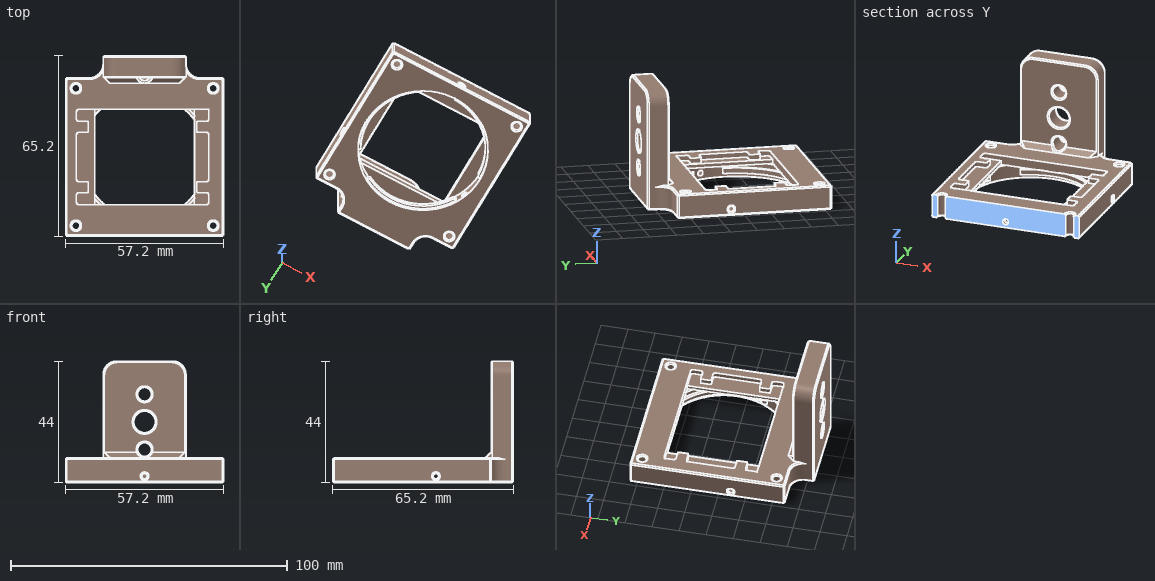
import cadquery as cq
import math

FRAME_SIDE = 57.15
FRAME_HEIGHT = 9.0
EDGE_CHAMFER = 0.5

POST_WIDTH = 30.0
POST_THICKNESS = 8.0
POST_HEIGHT = 44.0
POST_CORNER_RADIUS = 5.0
SHOULDER_RADIUS = 5.0
GUSSET_LEG = 2.0

MOUNT_HOLE_DIAMETER = 4.98
CENTRE_HOLE_DIAMETER = 7.8
POST_HOLE_CENTRE_Z = 22.0
POST_HOLE_PITCH = 10.0
CORNER_HOLE_DIAMETER = 3.0
CORNER_HOLE_INSET = 3.75
SET_SCREW_DIAMETER = 2.0
SET_SCREW_Z = 2.4
SIDE_SCREW_Y = 8.65

WINDOW_X = 36.0
WINDOW_Y = 34.5
POCKET_WIDTH = 47.8
POCKET_DEPTH = 2.0
POCKET_CENTRE_X = -0.72
POCKET_CORNER_RADIUS = 0.9
TAB_TIP_X = 19.65
TAB_CENTRE_Y = 10.9
TAB_WIDTH = 3.9
TAB_TIP_RADIUS = 0.3

BORE_DIAMETER = 47.0
BORE_DEPTH = 5.5
LIP_DIAMETER = 45.0
LIP_BOTTOM_Z = 1.5
LIP_TOP_Z = 3.5
NOTCH_COUNT = 3
NOTCH_FIRST_ANGLE = 15.0
NOTCH_SPAN = 30.0
LIP_END_RADIUS = 0.8

MATCH_TOLERANCE = 0.01

HALF_SIDE = FRAME_SIDE / 2
POST_FRONT_Y = HALF_SIDE
POST_BACK_Y = POST_FRONT_Y + POST_THICKNESS


def countersunk_hole(diameter, depth, countersink_both_ends=False):
    """Drill along +Z from z = 0, with a 45 degree countersink at its mouth."""
    radius = diameter / 2
    drill = cq.Workplane("XY").circle(radius).extrude(depth)
    cone = cq.Solid.makeCone(radius + EDGE_CHAMFER, radius, EDGE_CHAMFER)
    drill = drill.union(cq.Workplane(cone))
    if countersink_both_ends:
        far_cone = cone.mirror("XY").translate(cq.Vector(0, 0, depth))
        drill = drill.union(cq.Workplane(far_cone))
    return drill


def along_y(tool):
    """Turn a +Z tool so that it points along +Y."""
    return tool.rotate((0, 0, 0), (1, 0, 0), -90)


def along_x(tool):
    """Turn a +Z tool so that it points along +X."""
    return tool.rotate((0, 0, 0), (0, 1, 0), 90)


def make_frame():
    """Square frame with concave shoulders that run into the post."""
    half_post = POST_WIDTH / 2
    shoulder_x = half_post + SHOULDER_RADIUS
    shoulder_y = HALF_SIDE + SHOULDER_RADIUS
    neck_y = POST_BACK_Y - 2 * EDGE_CHAMFER
    arc_offset = SHOULDER_RADIUS * (1 - math.sqrt(0.5))
    arc_mid = (half_post + arc_offset, HALF_SIDE + arc_offset)
    outline = (
        cq.Workplane("XY")
        .moveTo(-HALF_SIDE, -HALF_SIDE)
        .lineTo(HALF_SIDE, -HALF_SIDE)
        .lineTo(HALF_SIDE, HALF_SIDE)
        .lineTo(shoulder_x, HALF_SIDE)
        .threePointArc(arc_mid, (half_post, shoulder_y))
        .lineTo(half_post, neck_y)
        .lineTo(-half_post, neck_y)
        .lineTo(-half_post, shoulder_y)
        .threePointArc((-arc_mid[0], arc_mid[1]), (-shoulder_x, HALF_SIDE))
        .lineTo(-HALF_SIDE, HALF_SIDE)
        .close()
    )
    frame = outline.extrude(FRAME_HEIGHT)
    frame = frame.edges("|Z and (<X or >X)").chamfer(EDGE_CHAMFER)
    return frame.faces("<Z or >Z").edges().chamfer(EDGE_CHAMFER)


def make_post():
    """Upright plate with rounded top corners and chamfered rims."""
    post = (
        cq.Workplane("XY")
        .box(POST_WIDTH, POST_THICKNESS, POST_HEIGHT, centered=(True, False, False))
        .translate((0, POST_FRONT_Y, 0))
    )
    post = post.edges("|Y and >Z").fillet(POST_CORNER_RADIUS)
    post = post.edges("|Y and <Z").chamfer(EDGE_CHAMFER)
    return post.faces("<Y or >Y").edges().chamfer(EDGE_CHAMFER)


def make_gusset():
    """45 degree gusset whose vertical ends continue the post's front chamfers."""
    root_half_width = POST_WIDTH / 2 - EDGE_CHAMFER
    tip_half_width = root_half_width - GUSSET_LEG
    root_y = POST_FRONT_Y
    tip_y = POST_FRONT_Y - GUSSET_LEG
    plan = (
        cq.Workplane("XY")
        .workplane(offset=FRAME_HEIGHT)
        .polyline([
            (-root_half_width, root_y),
            (-tip_half_width, tip_y),
            (tip_half_width, tip_y),
            (root_half_width, root_y),
        ])
        .close()
        .extrude(GUSSET_LEG)
    )
    slope = (
        cq.Workplane("YZ")
        .polyline([
            (root_y, FRAME_HEIGHT),
            (tip_y, FRAME_HEIGHT),
            (root_y, FRAME_HEIGHT + GUSSET_LEG),
        ])
        .close()
        .extrude(root_half_width, both=True)
    )
    return plan.intersect(slope)


def upright_edges_at(body, x):
    """Vertical edges of a body that lie in the plane at the given x."""
    edges = body.edges("|Z")
    return edges.filter(lambda edge: abs(edge.Center().x - x) < MATCH_TOLERANCE)


def make_pocket():
    """Shallow top pocket with two pairs of tabs reaching in from its sides."""
    wall_x = POCKET_WIDTH / 2
    tab_length = wall_x - TAB_TIP_X
    tab_centre_x = TAB_TIP_X + tab_length / 2
    tab_places = [
        (side * tab_centre_x, end * TAB_CENTRE_Y)
        for side in (-1, 1)
        for end in (-1, 1)
    ]
    pocket = cq.Workplane("XY").rect(POCKET_WIDTH, WINDOW_Y).extrude(POCKET_DEPTH)
    tabs = cq.Workplane("XY").pushPoints(tab_places).rect(tab_length, TAB_WIDTH).extrude(POCKET_DEPTH)
    pocket = pocket.cut(tabs)

    for tip_x in (-TAB_TIP_X, TAB_TIP_X):
        pocket = upright_edges_at(pocket, tip_x).fillet(TAB_TIP_RADIUS)
    pocket = upright_edges_at(pocket, -wall_x).fillet(POCKET_CORNER_RADIUS)
    pocket = upright_edges_at(pocket, wall_x).edges("not >Y").fillet(POCKET_CORNER_RADIUS)
    return pocket.translate((POCKET_CENTRE_X, 0, FRAME_HEIGHT - POCKET_DEPTH))


def make_bore():
    """Bore from below, narrowed by a round-ended lip that notches interrupt."""
    bore_radius = BORE_DIAMETER / 2
    bore = cq.Workplane("XY").circle(bore_radius).extrude(BORE_DEPTH)
    mid_radius = (BORE_DIAMETER + LIP_DIAMETER) / 4
    lip_height = LIP_TOP_Z - LIP_BOTTOM_Z
    lip = (
        cq.Workplane("XY")
        .circle(bore_radius)
        .circle(LIP_DIAMETER / 2)
        .extrude(lip_height)
    )
    reach = BORE_DIAMETER
    half_spread = reach * math.tan(math.radians(NOTCH_SPAN / 2))
    for index in range(NOTCH_COUNT):
        angle = NOTCH_FIRST_ANGLE + index * 360 / NOTCH_COUNT
        notch = (
            cq.Workplane("XY")
            .polyline([(0, 0), (reach, -half_spread), (reach, half_spread)])
            .close()
            .extrude(lip_height)
            .rotate((0, 0, 0), (0, 0, 1), angle)
        )
        lip = lip.cut(notch)
    end_corners = lip.edges("|Z").filter(
        lambda edge: math.hypot(edge.Center().x, edge.Center().y) < mid_radius
    )
    lip = end_corners.fillet(LIP_END_RADIUS)
    return bore.cut(lip.translate((0, 0, LIP_BOTTOM_Z)))


def cut_opening(body):
    """Rectangular window from above, bore from below and the tabbed pocket."""
    window = (
        cq.Workplane("XY")
        .workplane(offset=BORE_DEPTH)
        .rect(WINDOW_X, WINDOW_Y)
        .extrude(FRAME_HEIGHT - BORE_DEPTH)
    )
    return body.cut(window).cut(make_pocket()).cut(make_bore())


def cut_post_holes(body):
    """Centre hole and two mounting holes; the lowest breaks into the gusset."""
    lowest_z = POST_HOLE_CENTRE_Z - POST_HOLE_PITCH
    highest_z = POST_HOLE_CENTRE_Z + POST_HOLE_PITCH
    plain_holes = [
        (POST_HOLE_CENTRE_Z, CENTRE_HOLE_DIAMETER),
        (highest_z, MOUNT_HOLE_DIAMETER),
    ]
    for z, diameter in plain_holes:
        hole = along_y(countersunk_hole(diameter, POST_THICKNESS, countersink_both_ends=True))
        body = body.cut(hole.translate((0, POST_FRONT_Y, z)))

    lowest_depth = POST_THICKNESS + GUSSET_LEG
    lowest = along_y(cq.Workplane("XY").circle(MOUNT_HOLE_DIAMETER / 2).extrude(lowest_depth))
    body = body.cut(lowest.translate((0, POST_FRONT_Y - GUSSET_LEG, lowest_z)))
    reach = MOUNT_HOLE_DIAMETER / 2 + EDGE_CHAMFER
    at_mouths = cq.selectors.BoxSelector(
        (-reach, POST_FRONT_Y - GUSSET_LEG, lowest_z - reach),
        (reach, POST_BACK_Y + EDGE_CHAMFER, lowest_z + reach),
        boundingbox=True,
    )
    return body.edges(at_mouths).edges("not |Y").chamfer(EDGE_CHAMFER)


def cut_corner_holes(body):
    """Countersunk through hole near each corner of the frame."""
    offset = HALF_SIDE - CORNER_HOLE_INSET
    hole = countersunk_hole(CORNER_HOLE_DIAMETER, FRAME_HEIGHT, countersink_both_ends=True)
    for x in (-offset, offset):
        for y in (-offset, offset):
            body = body.cut(hole.translate((x, y, 0)))
    return body


def cut_set_screw_holes(body):
    """Set screw holes: one from -Y into the bore, one along X through both sides."""
    front_hole = along_y(countersunk_hole(SET_SCREW_DIAMETER, HALF_SIDE))
    side_hole = along_x(countersunk_hole(SET_SCREW_DIAMETER, FRAME_SIDE, countersink_both_ends=True))
    body = body.cut(front_hole.translate((0, -HALF_SIDE, SET_SCREW_Z)))
    return body.cut(side_hole.translate((-HALF_SIDE, SIDE_SCREW_Y, SET_SCREW_Z)))


body = make_frame().union(make_post()).union(make_gusset())
body = cut_opening(body)
body = cut_post_holes(body)
body = cut_corner_holes(body)
result = cut_set_screw_holes(body)